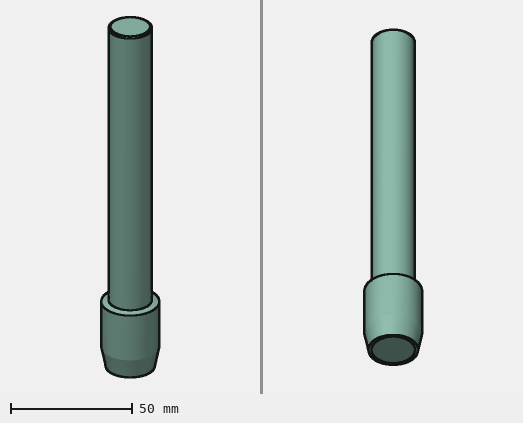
import cadquery as cq

total_length = 160.0
shaft_radius = 9.0
shaft_chamfer_width = 0.8
shaft_chamfer_height = 0.6

collar_radius = 12.0
collar_height = 31.0
collar_top_bevel_height = 0.8
collar_nose_height = 9.0
collar_nose_radius = 10.2


def make_shaft():
    """Revolved round shaft with a chamfered upper end."""
    profile = (
        cq.Workplane("YZ")
        .moveTo(0, 0)
        .lineTo(shaft_radius, 0)
        .lineTo(shaft_radius, total_length - shaft_chamfer_height)
        .lineTo(shaft_radius - shaft_chamfer_width, total_length)
        .lineTo(0, total_length)
        .close()
    )
    return profile.revolve(360, (0, 0), (0, 1))


def make_collar():
    """Revolved collar with a through bore, a tapered nose and a shallow conical top."""
    profile = (
        cq.Workplane("YZ")
        .moveTo(shaft_radius, 0)
        .lineTo(collar_nose_radius, 0)
        .lineTo(collar_radius, collar_nose_height)
        .lineTo(collar_radius, collar_height - collar_top_bevel_height)
        .lineTo(shaft_radius, collar_height)
        .close()
    )
    return profile.revolve(360, (0, 0), (0, 1))


shaft = make_shaft()
collar = make_collar()

result = cq.Compound.makeCompound([shaft.val(), collar.val()])